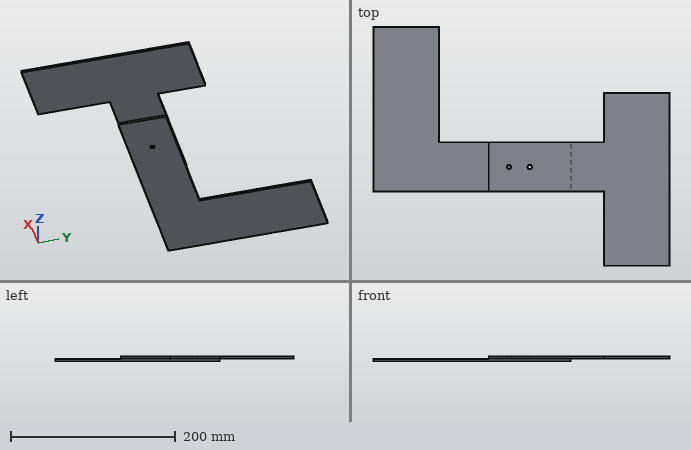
import cadquery as cq

overall_length = 360.0
plate_thickness = 3.0
arm_width = 60.0
end_width = 80.0

lower_length = 240.0
lower_leg_height = 200.0

upper_start = 140.0
head_rise = 60.0
head_drop = 90.0
head_start = overall_length - end_width

hole_diameter = 5.0
through_hole_x = 190.0
upper_hole_x = 165.0
hole_y = arm_width / 2


def round_cutter(x, bottom, height):
    """Vertical cylinder on the arm centre line."""
    return (
        cq.Workplane("XY", origin=(x, hole_y, bottom))
        .circle(hole_diameter / 2)
        .extrude(height)
    )


def make_lower_plate():
    """L-shaped plate with its outer corner at the origin."""
    plate = (
        cq.Workplane("XY")
        .polyline([
            (0, 0),
            (lower_length, 0),
            (lower_length, arm_width),
            (end_width, arm_width),
            (end_width, lower_leg_height),
            (0, lower_leg_height),
        ])
        .close()
        .extrude(plate_thickness)
    )
    return plate.cut(round_cutter(through_hole_x, 0, plate_thickness))


def make_upper_plate():
    """T-shaped plate whose arm lies on the arm of the lower plate."""
    plate = (
        cq.Workplane("XY", origin=(0, 0, plate_thickness))
        .polyline([
            (upper_start, 0),
            (head_start, 0),
            (head_start, -head_drop),
            (overall_length, -head_drop),
            (overall_length, arm_width + head_rise),
            (head_start, arm_width + head_rise),
            (head_start, arm_width),
            (upper_start, arm_width),
        ])
        .close()
        .extrude(plate_thickness)
    )
    for x in (upper_hole_x, through_hole_x):
        plate = plate.cut(round_cutter(x, plate_thickness, plate_thickness))
    return plate


lower_plate = make_lower_plate()
upper_plate = make_upper_plate()

result = cq.Compound.makeCompound([lower_plate.val(), upper_plate.val()])